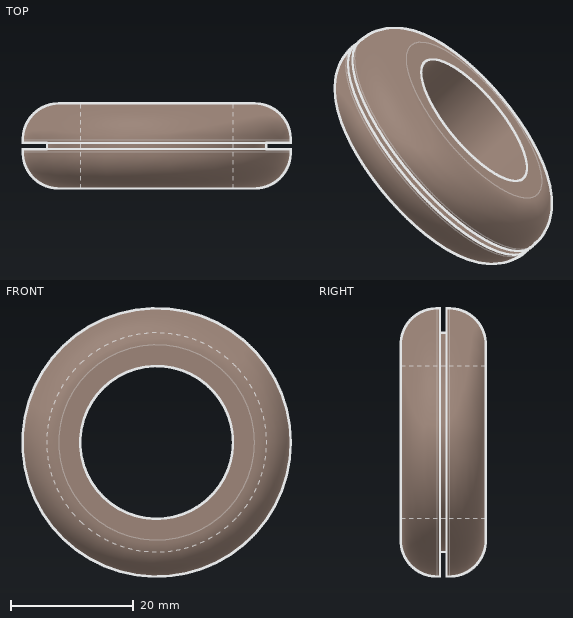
import cadquery as cq

outer_diameter = 44.0
bore_diameter = 25.0
groove_diameter = 36.0
thickness = 14.0
groove_width = 1.0
edge_radius = 6.0


def disc(diameter, length):
    """Solid cylinder along Y, centred on the origin."""
    start = cq.Workplane("XZ", origin=(0, length / 2, 0))
    return start.circle(diameter / 2).extrude(length)


body = disc(outer_diameter, thickness).faces("<Y or >Y").edges().fillet(edge_radius)

bore = disc(bore_diameter, thickness)

groove = disc(outer_diameter, groove_width).cut(disc(groove_diameter, groove_width))

result = body.cut(bore).cut(groove)